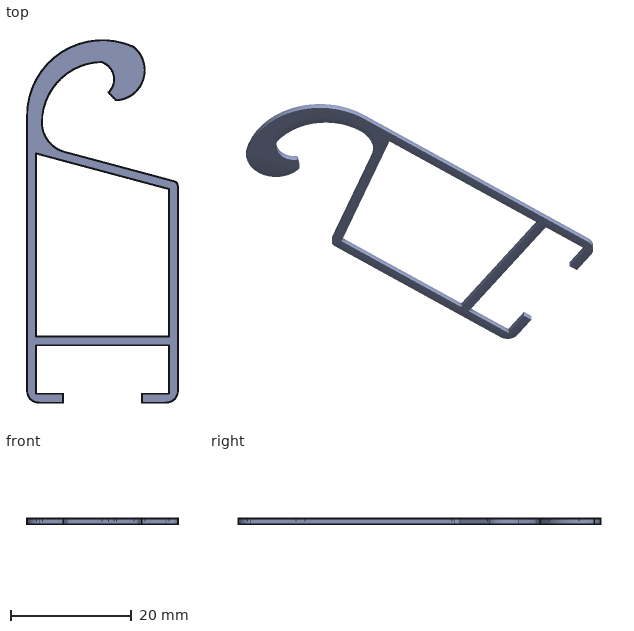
import cadquery as cq
import math

width = 25.0
height = 60.0
thickness = 1.0

wall = 1.5
lip_length = 6.0
lower_bay_height = 8.0
foot_radius = 2.0
shoulder_radius = 1.0
slope = math.radians(15)

hook_radius = 12.5
hook_center = (hook_radius, height - hook_radius)
throat_radius = 10.0
throat_x = hook_radius - throat_radius
throat_center = (hook_radius, 46.35)
root_radius = 5.0
tip_center = (14.5, 55.0)
tip_radius = 5.0
tip_end_angle = math.radians(-87)
mouth_center = (11.4, 53.5)
mouth_radius = 3.0
mouth_end_angle = math.radians(-46)


def on_circle(center, radius, angle):
    return (center[0] + radius * math.cos(angle), center[1] + radius * math.sin(angle))


def circle_crossing(center_a, radius_a, center_b, radius_b):
    """Crossing of two circles that lies to the right when looking from a to b."""
    dx = center_b[0] - center_a[0]
    dy = center_b[1] - center_a[1]
    distance = math.hypot(dx, dy)
    cosine = (radius_a**2 + distance**2 - radius_b**2) / (2 * radius_a * distance)
    return on_circle(center_a, radius_a, math.atan2(dy, dx) - math.acos(cosine))


def angle_of(point, center):
    return math.atan2(point[1] - center[1], point[0] - center[0])


def arc(sketch, center, radius, start_angle, end_angle):
    """Continue the outline along a circle between two angles."""
    middle = on_circle(center, radius, (start_angle + end_angle) / 2)
    return sketch.threePointArc(middle, on_circle(center, radius, end_angle))


root_center = (throat_x + root_radius, throat_center[1])
rail_start_angle = 1.5 * math.pi - slope
rail_start = on_circle(root_center, root_radius, rail_start_angle)


def rail_top(x):
    return rail_start[1] - (x - rail_start[0]) * math.tan(slope)


def rail_underside(x):
    return rail_top(x) - wall / math.cos(slope)


def make_blank():
    """Solid outline of the hook and frame, without the windows."""
    shoulder_point = circle_crossing(hook_center, hook_radius, tip_center, tip_radius)
    mouth_start = circle_crossing(throat_center, throat_radius, mouth_center, mouth_radius)

    outline = cq.Workplane("XY").lineTo(0, hook_center[1])
    outline = arc(outline, hook_center, hook_radius, math.pi, angle_of(shoulder_point, hook_center))
    outline = arc(outline, tip_center, tip_radius, angle_of(shoulder_point, tip_center), tip_end_angle)
    outline = outline.lineTo(*on_circle(mouth_center, mouth_radius, mouth_end_angle))
    outline = arc(outline, mouth_center, mouth_radius, mouth_end_angle, angle_of(mouth_start, mouth_center))
    outline = arc(outline, throat_center, throat_radius, angle_of(mouth_start, throat_center), math.pi)
    outline = arc(outline, root_center, root_radius, math.pi, rail_start_angle)
    outline = outline.lineTo(width, rail_top(width)).lineTo(width, 0).close()
    return outline.extrude(thickness)


def round_corners(body):
    """Round the two feet and the corner where the top rail meets the +X wall."""
    body = body.edges("|Z").edges("<Y").fillet(foot_radius)
    shoulder = cq.selectors.NearestToPointSelector((width, rail_top(width), thickness / 2))
    return body.edges("|Z").edges(shoulder).fillet(shoulder_radius)


def make_upper_window():
    left = wall
    right = width - wall
    bottom = wall + lower_bay_height + wall
    corners = [(left, bottom), (right, bottom), (right, rail_underside(right)), (left, rail_underside(left))]
    return cq.Workplane("XY").polyline(corners).close().extrude(thickness)


def make_lower_bay():
    """Lower window together with the gap between the two lips."""
    bay = (
        cq.Workplane("XY")
        .box(width - 2 * wall, lower_bay_height, thickness, centered=False)
        .translate((wall, wall, 0))
    )
    gap = (
        cq.Workplane("XY")
        .box(width - 2 * lip_length, wall, thickness, centered=False)
        .translate((lip_length, 0, 0))
    )
    return bay.union(gap)


result = round_corners(make_blank()).cut(make_upper_window()).cut(make_lower_bay())